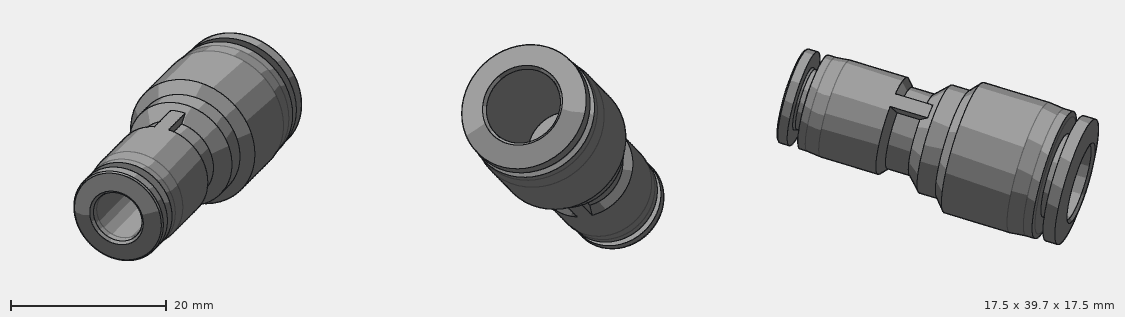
import cadquery as cq

length = 39.7
small_end_y = -length / 2

small_lip_radius = 6.3
small_lip_chamfer = 0.2
small_neck_radius = 4.05
small_body_radius = 6.5
small_dish_depth = 0.45
small_lip_front = 0.65
small_lip_back = 1.9
small_collar_front = 3.35
small_taper_start = 4.35
small_taper_end = 6.27
small_collar_face_slope = 0.25
small_collar_face_radius = 5.15
small_neck_flare_length = 0.3
small_neck_flare = 0.15

waist_radius = 5.48
waist_chamfer_start = 14.05
waist_start = 15.0
waist_end = 18.1
shoulder_radius = 7.25
shoulder_start = 19.93
shoulder_end = 22.45

large_body_radius = 8.755
large_collar_radius = 8.55
large_lip_radius = 8.4
large_neck_radius = 5.6
large_body_start = 23.8
large_taper_start = 32.7
large_taper_end = 34.85
large_collar_back = 36.05
large_collar_face_slope = 0.15
large_collar_face_radius = 7.85
large_lip_front = 37.48
large_lip_back = 39.1

passage_radius = 2.45
small_bore_entry_radius = 3.4
small_bore_radius = 3.35
small_bore_mouth_radius = 3.77
small_bore_chamfer = 0.35
small_bore_entry_depth = 1.2
small_bore_depth = 15.88
large_bore_radius = 5.0
large_bore_mouth_radius = 5.4
large_bore_chamfer = 0.4
large_bore_depth = 17.45

key_width = 2.02
key_end = 19.18


def revolve_profile(points):
    """Revolve (radius, station) points around the Y axis."""
    placed = [(radius, small_end_y + station) for radius, station in points]
    return cq.Workplane("XY").polyline(placed).close().revolve(360, (0, 0), (0, 1))


def make_body():
    return revolve_profile([
        (0, 0),
        (small_bore_mouth_radius, 0),
        (small_lip_radius - small_lip_chamfer, small_dish_depth),
        (small_lip_radius, small_lip_front),
        (small_lip_radius, small_lip_back),
        (small_neck_radius + small_neck_flare, small_lip_back),
        (small_neck_radius, small_lip_back + small_neck_flare_length),
        (small_neck_radius, small_collar_front - small_collar_face_slope),
        (small_collar_face_radius, small_collar_front - small_collar_face_slope),
        (small_lip_radius, small_collar_front),
        (small_lip_radius, small_taper_start),
        (small_body_radius, small_taper_end),
        (small_body_radius, waist_chamfer_start),
        (waist_radius, waist_start),
        (waist_radius, waist_end),
        (shoulder_radius, shoulder_start),
        (shoulder_radius, shoulder_end),
        (large_body_radius, large_body_start),
        (large_body_radius, large_taper_start),
        (large_collar_radius, large_taper_end),
        (large_collar_radius, large_collar_back),
        (large_collar_face_radius, large_collar_back + large_collar_face_slope),
        (large_neck_radius, large_collar_back + large_collar_face_slope),
        (large_neck_radius, large_lip_front),
        (large_lip_radius, large_lip_front),
        (large_lip_radius, large_lip_back),
        (large_bore_mouth_radius, length),
        (0, length),
    ])


def make_keys():
    """A slab across the waist, rounded to the small body's diameter."""
    key_length = key_end - waist_chamfer_start
    slab = cq.Workplane("XY").box(key_width, key_length, 2 * small_body_radius)
    slab = slab.translate((0, small_end_y + waist_chamfer_start + key_length / 2, 0))
    envelope = revolve_profile([
        (0, waist_chamfer_start),
        (small_body_radius, waist_chamfer_start),
        (small_body_radius, key_end),
        (0, key_end),
    ])
    return slab.intersect(envelope)


def make_bore():
    """Stepped through-passage with a tube socket and lead-in at each end."""
    return revolve_profile([
        (0, 0),
        (small_bore_mouth_radius, 0),
        (small_bore_entry_radius, small_bore_chamfer),
        (small_bore_radius, small_bore_entry_depth),
        (small_bore_radius, small_bore_depth),
        (passage_radius, small_bore_depth),
        (passage_radius, length - large_bore_depth),
        (large_bore_radius, length - large_bore_depth),
        (large_bore_radius, length - large_bore_chamfer),
        (large_bore_mouth_radius, length),
        (0, length),
    ])


result = make_body().union(make_keys()).cut(make_bore())